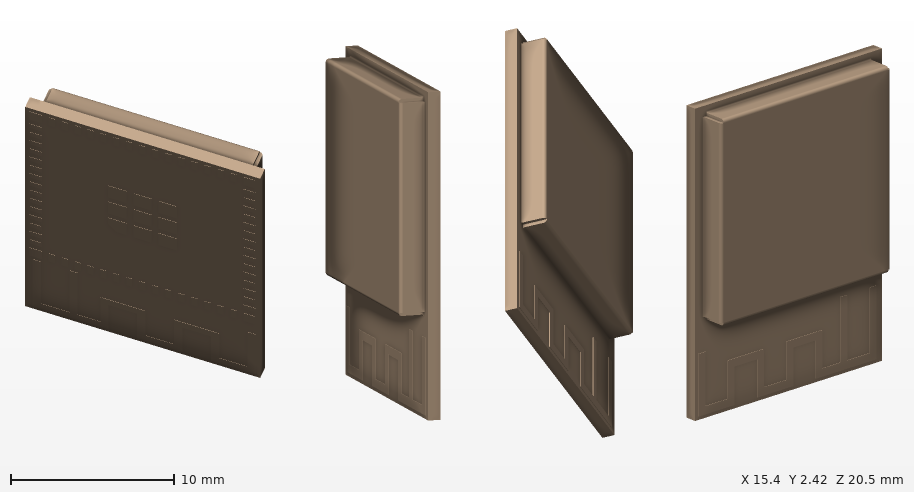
import cadquery as cq

BOARD_WIDTH = 15.4
BOARD_THICKNESS = 0.8
BOARD_HEIGHT = 20.5
BOARD_TOP = BOARD_HEIGHT / 2
BOARD_FRONT = 0.0
BOARD_BACK = BOARD_FRONT + BOARD_THICKNESS

FRONT_COPPER = 0.02
BACK_COPPER = 0.04

PAD_PITCH = 0.85
PADS_PER_SIDE = 15
PAD_WIDTH = 0.4
PAD_LENGTH = 0.8
CORNER_PAD = 0.8
RING_SPAN = 14.0
RING_TOP_MARGIN = 0.725
RING_CENTER = BOARD_TOP - RING_TOP_MARGIN - RING_SPAN / 2

THERMAL_PAD = 1.2
THERMAL_PITCH = 1.65
THERMAL_KEY = 0.55

TRACE_WIDTH = 0.54
TRACE_SIDE_MARGIN = 0.5
TRACE_BOTTOM_MARGIN = 0.24
TRACE_LEFT = -BOARD_WIDTH / 2 + TRACE_SIDE_MARGIN
TRACE_BOTTOM = -BOARD_HEIGHT / 2 + TRACE_BOTTOM_MARGIN
FEED_HEIGHT = 4.84
LOOP_HEIGHT = 3.06
TAIL_HEIGHT = 4.11
FEED_GAP = 1.86
FIRST_LOOP_GAP = 1.49
LOOP_GAP = 1.88
TAIL_GAP = 1.86
LOOP_COUNT = 2

SHIELD_WIDTH = 14.0
SHIELD_LENGTH = 13.55
SHIELD_HEIGHT = 1.6
SHIELD_TOP_MARGIN = 0.5
SHIELD_CENTER = BOARD_TOP - SHIELD_TOP_MARGIN - SHIELD_LENGTH / 2
BEND_RADIUS = 0.22
CORNER_NOTCH = BEND_RADIUS
FOOT_RADIUS = 0.1


def box_between(x_left, x_right, y_front, y_back, z_bottom, z_top):
    """Box given by its limits along X, Y and Z."""
    size = (x_right - x_left, y_back - y_front, z_top - z_bottom)
    return cq.Workplane("XY").box(*size, centered=False).translate((x_left, y_front, z_bottom))


def front_pad(x, z, width, height):
    """Rectangular copper pad on the front face, centred on (x, z)."""
    return box_between(
        x - width / 2, x + width / 2,
        BOARD_FRONT - FRONT_COPPER, BOARD_FRONT,
        z - height / 2, z + height / 2,
    )


def pad_ring():
    """Rows of pads along all four sides, with a square pad in each corner."""
    pads = []
    for side in (-1, 1):
        edge = side * RING_SPAN / 2
        for index in range(PADS_PER_SIDE):
            along = (index - (PADS_PER_SIDE - 1) / 2) * PAD_PITCH
            pads.append(front_pad(along, RING_CENTER + edge, PAD_WIDTH, PAD_LENGTH))
            pads.append(front_pad(edge, RING_CENTER + along, PAD_LENGTH, PAD_WIDTH))
        for end in (-1, 1):
            corner_z = RING_CENTER + end * RING_SPAN / 2
            pads.append(front_pad(edge, corner_z, CORNER_PAD, CORNER_PAD))
    return pads


def thermal_pads():
    """Grid of square pads; the lower left one has its outer corner cut off."""
    pads = []
    for column in (-1, 0, 1):
        for row in (-1, 0, 1):
            pad = front_pad(
                column * THERMAL_PITCH, RING_CENTER + row * THERMAL_PITCH, THERMAL_PAD, THERMAL_PAD
            )
            if column == -1 and row == -1:
                pad = pad.edges("<(1, 0, 1)").chamfer(THERMAL_KEY)
            pads.append(pad)
    return pads


def antenna(y_front, y_back):
    """Antenna trace: two feed legs, the loops of the meander and a raised tail."""
    strips = []

    def strip(x_left, x_right, z_bottom, z_top):
        strips.append(box_between(x_left, x_right, y_front, y_back, z_bottom, z_top))

    def leg(x_left, height):
        strip(x_left, x_left + TRACE_WIDTH, TRACE_BOTTOM, TRACE_BOTTOM + height)

    def bottom_run(x_left, x_right):
        strip(x_left, x_right, TRACE_BOTTOM, TRACE_BOTTOM + TRACE_WIDTH)

    second_feed = TRACE_LEFT + TRACE_WIDTH + FEED_GAP
    leg(TRACE_LEFT, FEED_HEIGHT)
    leg(second_feed, FEED_HEIGHT)

    loop_top = TRACE_BOTTOM + LOOP_HEIGHT
    run_start = TRACE_LEFT
    rise = second_feed + TRACE_WIDTH + FIRST_LOOP_GAP
    for _ in range(LOOP_COUNT):
        fall = rise + TRACE_WIDTH + LOOP_GAP
        bottom_run(run_start, rise + TRACE_WIDTH)
        leg(rise, LOOP_HEIGHT)
        strip(rise, fall + TRACE_WIDTH, loop_top - TRACE_WIDTH, loop_top)
        leg(fall, LOOP_HEIGHT)
        run_start = fall
        rise = fall + TRACE_WIDTH + LOOP_GAP

    tail = run_start + TRACE_WIDTH + TAIL_GAP
    bottom_run(run_start, tail + TRACE_WIDTH)
    leg(tail, TAIL_HEIGHT)
    return strips


def folded_channel(width, length):
    """Channel folded along two sides: rounded bends on top, concave flares at the feet.

    It stands on the XY plane, spans `width` along X and runs for `length` along Y.
    """
    half = width / 2
    foot = half + FOOT_RADIUS
    bend_start = SHIELD_HEIGHT - BEND_RADIUS
    flat = half - BEND_RADIUS
    return (
        cq.Workplane("XZ")
        .moveTo(-foot, 0)
        .lineTo(foot, 0)
        .radiusArc((half, FOOT_RADIUS), FOOT_RADIUS)
        .lineTo(half, bend_start)
        .radiusArc((flat, SHIELD_HEIGHT), -BEND_RADIUS)
        .lineTo(-flat, SHIELD_HEIGHT)
        .radiusArc((-half, bend_start), -BEND_RADIUS)
        .lineTo(-half, FOOT_RADIUS)
        .radiusArc((-foot, 0), FOOT_RADIUS)
        .close()
        .extrude(length / 2, both=True)
    )


def shield():
    """Two crossed channels, which leave a square notch open at each corner."""
    across = folded_channel(SHIELD_WIDTH, SHIELD_LENGTH - 2 * CORNER_NOTCH)
    along = folded_channel(SHIELD_LENGTH, SHIELD_WIDTH - 2 * CORNER_NOTCH)
    along = along.rotate((0, 0, 0), (0, 0, 1), 90)
    upright = across.union(along).rotate((0, 0, 0), (1, 0, 0), -90)
    return upright.translate((0, BOARD_BACK, SHIELD_CENTER))


board = box_between(
    -BOARD_WIDTH / 2, BOARD_WIDTH / 2, BOARD_FRONT, BOARD_BACK, -BOARD_HEIGHT / 2, BOARD_TOP
)
front_antenna = antenna(BOARD_FRONT - FRONT_COPPER, BOARD_FRONT)
back_antenna = antenna(BOARD_BACK, BOARD_BACK + BACK_COPPER)
copper = pad_ring() + thermal_pads() + front_antenna + back_antenna

result = board.union(shield())
for piece in copper:
    result = result.union(piece)
result = result.clean()